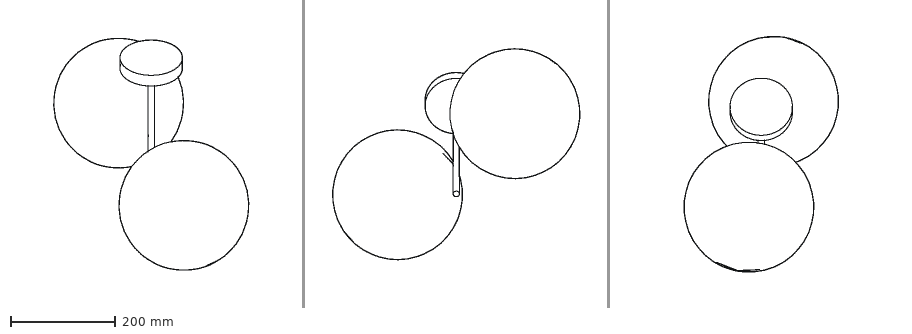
import cadquery as cq

plate_diameter = 120.0
plate_thickness = 25.0
rod_diameter = 12.0
overall_height = 390.0
globe_diameter = 250.0
globe_step = 80.0
joint_diameter = 6.0
joint_depth = 10.0

rod_radius = rod_diameter / 2
globe_radius = globe_diameter / 2
globe_offset = rod_radius + globe_radius
right_globe_z = globe_radius - overall_height
left_globe_z = right_globe_z + globe_step


def make_plate():
    """Round ceiling plate hanging down from Z = 0."""
    return cq.Workplane("XY").circle(plate_diameter / 2).extrude(-plate_thickness)


def make_rod():
    """Straight rod from the plate down to the bottom of the part."""
    rod_length = overall_height - plate_thickness
    return (
        cq.Workplane("XY")
        .workplane(offset=-plate_thickness)
        .circle(rod_radius)
        .extrude(-rod_length)
    )


def make_globe(side, center_z):
    """Spherical globe beside the rod; side is -1 for left (-X) or +1 for right (+X)."""
    return cq.Workplane("XY").sphere(globe_radius).translate((side * globe_offset, 0, center_z))


def make_joint(side, center_z):
    """Short pin from the rod axis into the globe, joining the two where they touch."""
    return (
        cq.Workplane("YZ", origin=(0, 0, center_z))
        .circle(joint_diameter / 2)
        .extrude(side * (rod_radius + joint_depth))
    )


result = make_plate().union(make_rod())
for side, center_z in ((-1, left_globe_z), (1, right_globe_z)):
    result = result.union(make_globe(side, center_z)).union(make_joint(side, center_z))